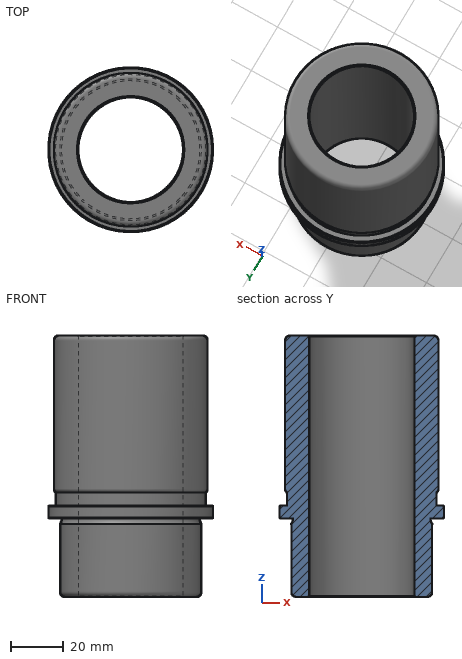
import cadquery as cq

total_height = 100.0
collar_bottom = 30.0
collar_height = 5.0
collar_top = collar_bottom + collar_height
body_bottom = 40.0

body_diameter = 58.8
neck_diameter = 57.4
collar_diameter = 63.0
spigot_diameter = 54.1
relief_diameter = 52.8
bore_diameter = 40.0

body_top_fillet = 2.0
shoulder_height = 1.3
collar_chamfer = 0.4
spigot_fillet = 2.0
relief_height = 2.0
bore_chamfer = 0.5

relief_bottom = collar_bottom - relief_height
shoulder_top = body_bottom + shoulder_height


def cylinder(diameter, bottom, top):
    """Vertical cylinder centred on the Z axis between two heights."""
    return cq.Workplane("XY").workplane(offset=bottom).circle(diameter / 2).extrude(top - bottom)


def curved_transition(bottom_diameter, top_diameter, bottom, top):
    """Solid of revolution whose side is an arc that ends vertically at its top.

    The side is concave where it narrows upward and convex where it widens upward.
    """
    step = (bottom_diameter - top_diameter) / 2
    height = top - bottom
    arc_radius = (step**2 + height**2) / (2 * step)
    return (
        cq.Workplane("XZ")
        .moveTo(0, bottom)
        .lineTo(bottom_diameter / 2, bottom)
        .radiusArc((top_diameter / 2, top), arc_radius)
        .lineTo(0, top)
        .close()
        .revolve(360, (0, 0, 0), (0, 1, 0))
    )


spigot = cylinder(spigot_diameter, 0, relief_bottom)
spigot = spigot.faces("<Z").edges().fillet(spigot_fillet)
relief = curved_transition(spigot_diameter, relief_diameter, relief_bottom, collar_bottom)

collar = cylinder(collar_diameter, collar_bottom, collar_top).edges().chamfer(collar_chamfer)

neck = cylinder(neck_diameter, collar_top, body_bottom)
shoulder = curved_transition(neck_diameter, body_diameter, body_bottom, shoulder_top)
body = cylinder(body_diameter, shoulder_top, total_height)
body = body.faces(">Z").edges().fillet(body_top_fillet)

outside = spigot.union(relief).union(collar).union(neck).union(shoulder).union(body)
bored = outside.cut(cylinder(bore_diameter, 0, total_height))
bore_rims = bored.faces("<Z or >Z").edges(cq.selectors.RadiusNthSelector(0))
result = bore_rims.chamfer(bore_chamfer)